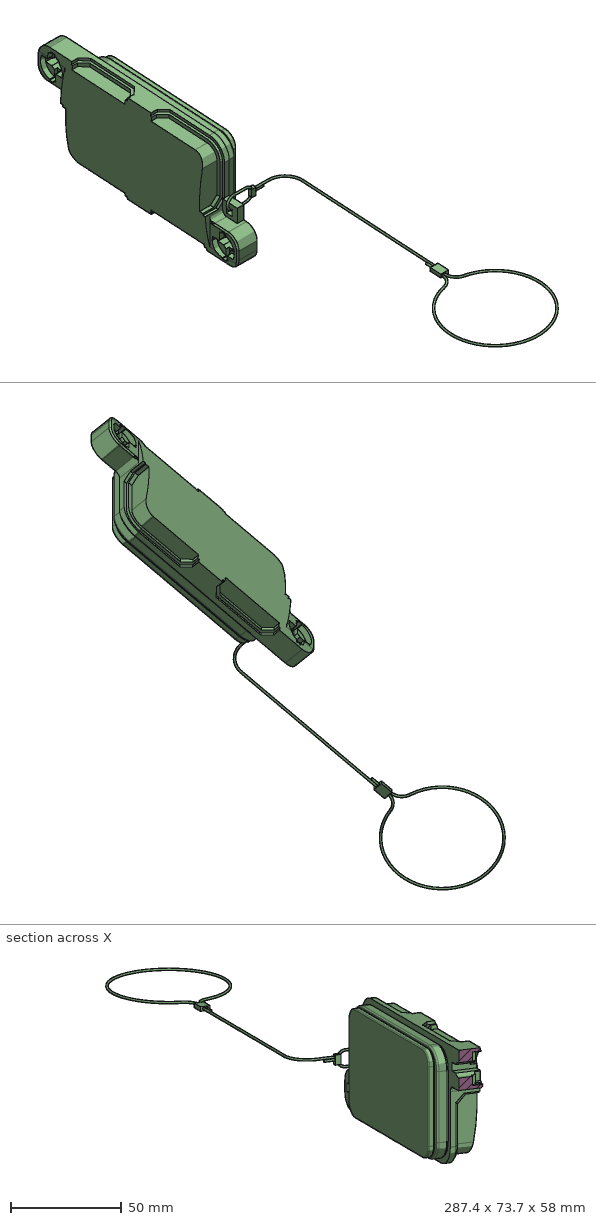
import cadquery as cq
import math


body_length = 96.0
body_height = 58.0
body_corner_radius = 10.0
crown_radius = 100.0
flange_rear_y = 15.1

overall_length = 133.0
ear_height = 19.2
ear_corner_radius = 7.0
ear_front_y = 3.0
ear_edge_chamfer = 0.8
ear_hole_diameter = 7.0
ear_slot_length = 14.0
ear_slot_width = 4.0
ear_recess_diameter = 14.6
ear_recess_depth = 3.0
ear_relief_width = 5.2
ear_relief_height = 3.6
ear_groove_width = 2.4
ear_groove_length = 15.6
ear_groove_depth = 5.0
ear_root_radius = 2.6

grip_steps = [(1.5, 12.2), (3.6, 10.8)]
grip_gap = 14.0
grip_long_end = 45.5
grip_side_end = 6.4
grip_corner_chamfer = 4.0

cover_x = -0.4
bulge_size = (92.0, 53.5)
bulge_corner_radius = 10.0
bulge_rear_y = 20.8
bulge_front_y = 16.0
bulge_inset = 0.6
bulge_edge_radius = 0.8
neck_rear_y = 21.4
neck_inset = 0.6
plate_size = (87.0, 51.4)
plate_corner_radius = 7.0
plate_rear_y = 24.0
plate_edge_radius = 0.5

lug_width = 9.7
lug_top_z = -1.1
lug_front_y = 11.0
lug_hole_size = 3.6
lug_hole_x = 52.3
lug_hole_z = -5.9

wire_diameter = 1.2
tether_z = -0.8
tether_y = 46.5
tether_bend_radius = 11.0
anchor_top_z = 2.0
anchor_front_y = 10.0
anchor_ferrule_y = 24.0
anchor_ferrule_length = 2.8
anchor_ferrule_height = 4.8
anchor_ferrule_width = 2.2
anchor_tail_length = 5.2
clamp_start_x = 151.0
clamp_size = (7.0, 4.8, 2.2)
tail_length = 4.5
strand_gap = 1.3
ring_outer_radius = 28.6
total_length = 287.39
total_depth = 73.69

half_length = body_length / 2
half_height = body_height / 2
ear_center_x = (overall_length - ear_height) / 2
ear_center_z = (body_height - ear_height) / 2
ring_radius = ring_outer_radius - wire_diameter / 2
ring_x = total_length - overall_length / 2 - ring_outer_radius
ring_y = total_depth - ring_outer_radius


def slab(length, height, front_y, rear_y, x=0.0, z=0.0):
    """Box centred on (x, z) between two Y planes."""
    depth = rear_y - front_y
    return cq.Workplane("XY").box(length, depth, height).translate((x, front_y + depth / 2, z))


def half_turn(shape):
    """Copy turned half a turn about the Y axis."""
    return shape.rotate((0, 0, 0), (0, 1, 0), 180)


def with_half_turn_copy(shape):
    return shape.union(half_turn(shape))


def make_crown():
    """Large cylinder along X whose nearest line touches Y = 0."""
    return (
        cq.Workplane("YZ")
        .center(crown_radius, 0)
        .circle(crown_radius)
        .extrude(overall_length, both=True)
    )


def make_body():
    body = slab(body_length, body_height, 0, flange_rear_y)
    return body.edges("(>X and >Z) or (<X and <Z)").edges("|Y").fillet(body_corner_radius)


def make_left_ear():
    """Ear block that reaches sideways into the body."""
    left = -overall_length / 2
    right = -half_length + body_corner_radius
    ear = slab(right - left, ear_height, ear_front_y, flange_rear_y, (left + right) / 2, ear_center_z)
    ear = ear.edges("<X and |Y").fillet(ear_corner_radius)
    return ear.faces("<Y").edges().chamfer(ear_edge_chamfer)


def make_ear_root():
    """Concave fillet in the corner between the left ear's underside and the body's side."""
    r = ear_root_radius
    x = -half_length - r
    z = half_height - ear_height - r
    root = slab(r, r, ear_front_y, flange_rear_y, x + r / 2, z + r / 2)
    return root.cut(cq.Workplane("XZ").center(x, z).circle(r).extrude(-flange_rear_y))


def make_ear_opening():
    """Slotted hole through the left ear, with a recess around it that leaves two corner pads."""
    x = -ear_center_x
    z = ear_center_z
    through = (
        slab(ear_slot_length, ear_slot_width, 0, flange_rear_y)
        .union(cq.Workplane("XZ").circle(ear_hole_diameter / 2).extrude(-flange_rear_y))
    )
    recess_end = ear_front_y + ear_recess_depth
    groove = slab(ear_groove_width, ear_groove_length, 0, ear_front_y + ear_groove_depth)
    half = ear_recess_diameter / 2
    quadrants = slab(half, half, 0, recess_end, half / 2, half / 2)
    quadrants = with_half_turn_copy(quadrants)
    relief = slab(ear_relief_width, ear_recess_diameter, 0, recess_end)
    side_relief = slab(half, ear_relief_height, 0, recess_end, -half / 2, ear_relief_height / 2)
    recess = quadrants.union(relief).union(side_relief)
    disc = cq.Workplane("XZ").circle(half).extrude(-recess_end)
    return through.union(groove).union(recess.intersect(disc)).translate((x, 0, z))


def make_rim_band(depth):
    """Everything outside a rounded outline that lies the given depth inside the body's."""
    stock = slab(overall_length, 2 * body_height, 0, flange_rear_y)
    core = (
        slab(body_length - 2 * depth, body_height - 2 * depth, 0, flange_rear_y)
        .edges("(>X and >Z) or (<X and <Z)")
        .edges("|Y")
        .fillet(body_corner_radius - depth)
    )
    return stock.cut(core)


def make_grip_recess(depth, rear_y):
    """One step of the upper left recess and of the recess that wraps the upper right corner."""
    reach = half_length + body_corner_radius
    start = grip_gap / 2 + depth / 2
    end = grip_long_end - depth / 2
    corner_z = half_height - body_corner_radius
    corner_x = half_length - body_corner_radius

    left = slab(end - start, body_height, 0, rear_y, -(start + end) / 2, corner_z + half_height)
    left = left.edges("|Z and >Y").chamfer(grip_corner_chamfer)

    top = slab(reach - start, body_height, 0, rear_y, (start + reach) / 2, corner_z + half_height)
    top = top.edges("|Z and >Y and <X").chamfer(grip_corner_chamfer)

    low = depth / 2 - grip_side_end
    side = slab(body_length, reach - low, 0, rear_y, corner_x + half_length, (low + reach) / 2)
    side = side.edges("|X and >Y and <Z").chamfer(grip_corner_chamfer)

    return left.union(top).union(side).intersect(make_rim_band(depth))


def make_cover_layer(size, corner_radius, front_y, rear_y, inset=0.0):
    """Rounded slab of the cover, drawn in all round by `inset`."""
    layer = slab(size[0] - 2 * inset, size[1] - 2 * inset, front_y, rear_y, cover_x)
    return layer.edges("|Y").fillet(corner_radius - inset)


def make_rear_cover():
    """Bulge on a slightly smaller base, then a narrow neck, then a flat end plate."""
    base = make_cover_layer(bulge_size, bulge_corner_radius, flange_rear_y, bulge_front_y, bulge_inset)
    bulge = make_cover_layer(bulge_size, bulge_corner_radius, bulge_front_y, bulge_rear_y)
    bulge = bulge.faces(">Y").edges().fillet(bulge_edge_radius)
    neck = make_cover_layer(plate_size, plate_corner_radius, bulge_rear_y, neck_rear_y, neck_inset)
    plate = make_cover_layer(plate_size, plate_corner_radius, neck_rear_y, plate_rear_y)
    plate = plate.faces(">Y").edges().fillet(plate_edge_radius)
    return base.union(bulge).union(neck).union(plate)


def make_lug():
    """Perforated tab filling the corner between the body's side and the lower right ear."""
    bottom_z = ear_height - half_height
    height = lug_top_z - bottom_z
    x = half_length + lug_width / 2
    lug = slab(lug_width, height, lug_front_y, flange_rear_y, x, lug_top_z - height / 2)
    hole = slab(lug_hole_size, lug_hole_size, 0, flange_rear_y, lug_hole_x, lug_hole_z)
    return lug.cut(hole)


def sweep_wire(path, start, normal):
    """Round wire following a path that leaves `start` along `normal`."""
    plane = cq.Plane(origin=start, normal=normal)
    return cq.Workplane(plane).circle(wire_diameter / 2).sweep(path)


def make_anchor():
    """Wire eye threaded through the lug hole and closed by a ferrule behind the housing."""
    height = anchor_top_z - lug_hole_z
    length = anchor_ferrule_y + wire_diameter - anchor_front_y
    center = (anchor_front_y + length / 2, (anchor_top_z + lug_hole_z) / 2)
    plane = cq.Plane(origin=(lug_hole_x, 0, 0), xDir=(0, 1, 0), normal=(1, 0, 0))
    radius = height / 2
    half_straight = length / 2 - radius
    path = (
        cq.Workplane(plane)
        .center(*center)
        .moveTo(-half_straight, radius)
        .lineTo(half_straight, radius)
        .threePointArc((length / 2, 0), (half_straight, -radius))
        .lineTo(-half_straight, -radius)
        .threePointArc((-length / 2, 0), (-half_straight, radius))
        .close()
    )
    start = (lug_hole_x, center[0] - half_straight, anchor_top_z)
    ferrule = slab(
        anchor_ferrule_width,
        anchor_ferrule_height,
        anchor_ferrule_y,
        anchor_ferrule_y + anchor_ferrule_length,
        lug_hole_x,
        center[1],
    )
    tail_start = (lug_hole_x, anchor_ferrule_y + anchor_ferrule_length, tether_z - strand_gap)
    tail = (
        cq.Workplane(cq.Plane(origin=tail_start, normal=(0, 1, 0)))
        .circle(wire_diameter / 2)
        .extrude(anchor_tail_length)
    )
    return sweep_wire(path, start, (0, 1, 0)).union(ferrule).union(tail)


def make_lead():
    """Wire from the ferrule, bent towards +X and run into the ring clamp."""
    bend = tether_bend_radius
    bend_y = tether_y - bend
    short = bend * (1 - math.sqrt(0.5))
    path = (
        cq.Workplane("XY", origin=(0, 0, tether_z))
        .moveTo(lug_hole_x, anchor_ferrule_y)
        .lineTo(lug_hole_x, bend_y)
        .threePointArc((lug_hole_x + short, tether_y - short), (lug_hole_x + bend, tether_y))
        .lineTo(clamp_start_x + clamp_size[0] / 2, tether_y)
    )
    return sweep_wire(path, (lug_hole_x, anchor_ferrule_y, tether_z), (0, 1, 0))


def make_ring():
    """Wire ring whose two ends flare back into the clamp on tangent arcs."""
    clamp_end_x = clamp_start_x + clamp_size[0]
    inside_x = clamp_end_x - clamp_size[0] / 2
    offset = strand_gap / 2
    run = ring_x - clamp_end_x
    flare = (run**2 + offset**2 - ring_radius**2) / (2 * (ring_radius - offset))
    share = flare / (flare + ring_radius)
    touch_x = clamp_end_x + run * share
    touch_rise = (offset + flare) * (1 - share)
    turn = math.atan2(run, offset + flare) / 2
    mid_x = clamp_end_x + flare * math.sin(turn)
    mid_rise = offset + flare * (1 - math.cos(turn))
    path = (
        cq.Workplane("XY", origin=(0, ring_y, tether_z))
        .moveTo(inside_x, offset)
        .lineTo(clamp_end_x, offset)
        .threePointArc((mid_x, mid_rise), (touch_x, touch_rise))
        .threePointArc((ring_x + ring_radius, 0), (touch_x, -touch_rise))
        .threePointArc((mid_x, -mid_rise), (clamp_end_x, -offset))
        .lineTo(inside_x, -offset)
    )
    return sweep_wire(path, (inside_x, ring_y + offset, tether_z), (1, 0, 0))


def make_clamp():
    """Flat clamp joining the lead and the ring, with the lead's cut tail beside it."""
    center = (clamp_start_x + clamp_size[0] / 2, (tether_y + ring_y) / 2, tether_z)
    clamp = cq.Workplane("XY").box(*clamp_size).translate(center)
    tail = (
        cq.Workplane("YZ", origin=(clamp_start_x - tail_length, tether_y - strand_gap, tether_z))
        .circle(wire_diameter / 2)
        .extrude(tail_length)
    )
    return clamp.union(tail)


left_ear = make_left_ear().union(make_ear_root())
housing = make_body().union(with_half_turn_copy(left_ear)).intersect(make_crown())
housing = housing.cut(with_half_turn_copy(make_ear_opening()))
for step_depth, step_rear_y in grip_steps:
    housing = housing.cut(with_half_turn_copy(make_grip_recess(step_depth, step_rear_y)))

housing = housing.union(make_rear_cover())
housing = housing.union(make_lug())

tether = make_anchor().union(make_lead()).union(make_clamp()).union(make_ring())
result = housing.union(tether)